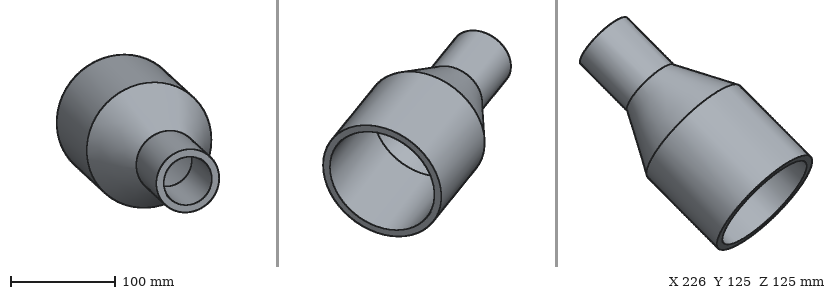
import cadquery as cq

total_length = 226.0
large_length = 99.0
small_length = 66.0
large_outer_diameter = 125.0
large_bore_diameter = 110.3
small_outer_diameter = 63.0
small_bore_diameter = 48.1

cone_start = large_length
cone_end = total_length - small_length


def stepped_body(large_diameter, small_diameter):
    """Solid of revolution: large cylinder, cone, small cylinder."""
    large_radius = large_diameter / 2
    small_radius = small_diameter / 2
    return (
        cq.Workplane("XY")
        .moveTo(0, 0)
        .lineTo(0, large_radius)
        .lineTo(cone_start, large_radius)
        .lineTo(cone_end, small_radius)
        .lineTo(total_length, small_radius)
        .lineTo(total_length, 0)
        .close()
        .revolve(360, (0, 0, 0), (1, 0, 0))
    )


outer_body = stepped_body(large_outer_diameter, small_outer_diameter)
bore = stepped_body(large_bore_diameter, small_bore_diameter)
result = outer_body.cut(bore)